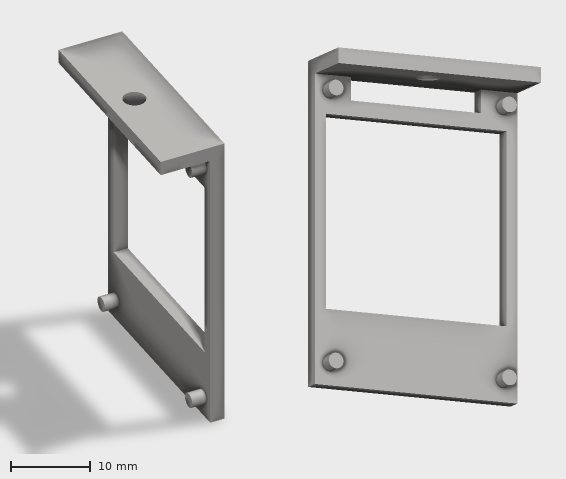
import cadquery as cq

width = 28.0
depth = 9.0
height = 41.8
thickness = 2.0

window_side = 25.0
window_bottom = 9.8

slot_width = 18.0
slot_height = 3.0

pin_diameter = 2.0
pin_length = 2.0
pin_spacing = 24.0
pin_bottom_z = 2.8
pin_top_z = height - 4.0

hole_diameter = 3.0
overhang = depth - thickness


def block(size_x, size_y, size_z, y_min, z_min):
    """Box centred on X with its lowest Y and Z given."""
    box = cq.Workplane("XY").box(size_x, size_y, size_z, centered=(True, False, False))
    return box.translate((0, y_min, z_min))


def pin(x, z):
    """Pin from the front face of the plate toward -Y."""
    face = cq.Workplane("XZ", origin=(x, overhang, z))
    return face.circle(pin_diameter / 2).extrude(pin_length)


plate = block(width, thickness, height, overhang, 0)
flange = block(width, depth, thickness, 0, height - thickness)
bracket = plate.union(flange)

window = block(window_side, thickness, window_side, overhang, window_bottom)
slot_bottom = height - thickness - slot_height
slot = block(slot_width, thickness, slot_height, overhang, slot_bottom)
bracket = bracket.cut(window).cut(slot)

hole_plane = cq.Workplane("XY", origin=(0, overhang / 2, height - thickness))
bracket = bracket.cut(hole_plane.circle(hole_diameter / 2).extrude(thickness))

for pin_x in (-pin_spacing / 2, pin_spacing / 2):
    for pin_z in (pin_bottom_z, pin_top_z):
        bracket = bracket.union(pin(pin_x, pin_z))

result = bracket